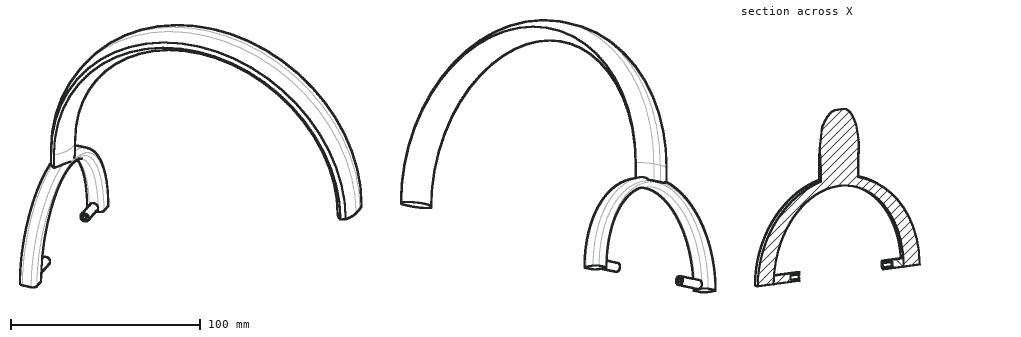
import cadquery as cq

BAND_OUTER_RADIUS = 87.5
BAND_INNER_RADIUS = 77.2
BAND_BACK_Y = 12.0
BAND_FRONT_Y = -11.4
BAND_MIDDLE_Y = (BAND_BACK_Y + BAND_FRONT_Y) / 2
BAND_RIM_RADIUS = 82.8
CROWN_BACK_Y = 3.2
CROWN_FRONT_Y = -2.0
CROWN_BACK_BULGE_Y = 9.0
CROWN_BACK_BULGE_RADIUS = 85.8
CROWN_FRONT_BULGE_Y = -6.6
CROWN_FRONT_BULGE_RADIUS = 86.6
BEVEL_TOP_Y = -9.8
BEVEL_TOP_RADIUS = 85.0

STUB_LENGTH = 9.0

YOKE_BASE_Z = -60.5
YOKE_WIDTH = 96.0
YOKE_OUTER_HALF_WIDTH = YOKE_WIDTH / 2
YOKE_INNER_HALF_WIDTH = 38.3
YOKE_OUTER_HEIGHT = 54.0
YOKE_INNER_HEIGHT = 48.8
YOKE_THICKNESS = 9.6
YOKE_MIN_X = -86.8
YOKE_EDGE_RADIUS = 2.3

PIN_DIAMETER = 4.9
PIN_RADIUS = PIN_DIAMETER / 2
PIN_HOLE_RADIUS = 1.0
PIN_HOLE_DEPTH = 5.2
PIN_TIP_OFFSETS = {1: 26.5, -1: 23.3}
PIN_X = YOKE_MIN_X + YOKE_THICKNESS / 2
PIN_Z = YOKE_BASE_Z + PIN_RADIUS


def band_section():
    """Band cross-section in the XY plane, on the -X side of the band."""
    return (
        cq.Workplane("XY")
        .moveTo(-BAND_OUTER_RADIUS, CROWN_FRONT_Y)
        .lineTo(-BAND_OUTER_RADIUS, CROWN_BACK_Y)
        .threePointArc((-CROWN_BACK_BULGE_RADIUS, CROWN_BACK_BULGE_Y), (-BAND_RIM_RADIUS, BAND_BACK_Y))
        .threePointArc((-BAND_INNER_RADIUS, BAND_MIDDLE_Y), (-BAND_RIM_RADIUS, BAND_FRONT_Y))
        .lineTo(-BEVEL_TOP_RADIUS, BEVEL_TOP_Y)
        .threePointArc((-CROWN_FRONT_BULGE_RADIUS, CROWN_FRONT_BULGE_Y), (-BAND_OUTER_RADIUS, CROWN_FRONT_Y))
        .close()
    )


def make_band():
    return band_section().revolve(180, (0, 0, 0), (0, 1, 0))


def make_stub():
    return band_section().extrude(-STUB_LENGTH)


def half_ellipse(half_width, height):
    """Half elliptical slab standing on the yoke base, as thick as the yoke."""
    return (
        cq.Workplane("YZ", origin=(YOKE_MIN_X, 0, YOKE_BASE_Z))
        .ellipseArc(half_width, height, 0, 180, startAtCurrent=False)
        .close()
        .extrude(YOKE_THICKNESS)
    )


def make_yoke():
    ring = half_ellipse(YOKE_OUTER_HALF_WIDTH, YOKE_OUTER_HEIGHT).cut(
        half_ellipse(YOKE_INNER_HALF_WIDTH, YOKE_INNER_HEIGHT)
    )
    return ring.edges("%ELLIPSE").fillet(YOKE_EDGE_RADIUS)


def make_hook():
    """Band, stub and yoke as one solid."""
    return make_band().union(make_stub()).union(make_yoke()).solids()


def make_pin(side, tip_offset, hook):
    """Pin from its drilled tip out to the curved inner face of the yoke."""
    tip = cq.Vector(PIN_X, side * tip_offset, PIN_Z)
    outward = cq.Vector(0, side, 0)
    reach = (YOKE_OUTER_HALF_WIDTH + YOKE_INNER_HALF_WIDTH) / 2 - tip_offset
    rod = cq.Solid.makeCylinder(PIN_RADIUS, reach, tip, outward)
    hole = cq.Solid.makeCylinder(PIN_HOLE_RADIUS, PIN_HOLE_DEPTH, tip, outward)
    return cq.Workplane(rod).cut(cq.Workplane(hole)).cut(hook)


hook = make_hook()
pins = [make_pin(side, tip_offset, hook) for side, tip_offset in PIN_TIP_OFFSETS.items()]

result = cq.Compound.makeCompound([hook.val(), *[pin.solids().val() for pin in pins]])